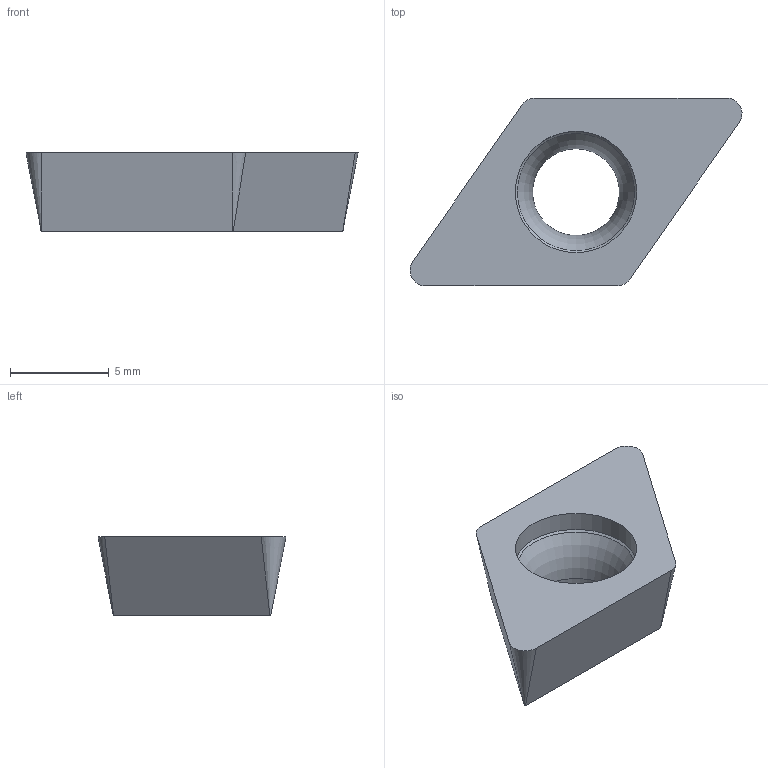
import math

import cadquery as cq

thickness = 3.97
inscribed_diameter = 9.53
nose_angle = 55.0
nose_radius = 0.8
clearance_angle = 11.0

recess_diameter = 6.15
recess_depth = 1.0
recess_chamfer = 0.1
seat_radius = 3.87
bore_diameter = 4.4


def rhombus_outline(inset):
    """Rounded rhombus with two sides along X, every side moved inward by the inset."""
    height = inscribed_diameter - 2 * inset
    nose = math.radians(nose_angle)
    side = height / math.sin(nose)
    lean = height / math.tan(nose)
    corners = [
        (-(side + lean) / 2, -height / 2),
        ((side - lean) / 2, -height / 2),
        ((side + lean) / 2, height / 2),
        ((lean - side) / 2, height / 2),
    ]
    sharp_outline = cq.Sketch().polygon(corners + corners[:1])
    return sharp_outline.vertices().fillet(nose_radius - inset)


def insert_body():
    """Flat-sided body whose rounded corners are cones, narrowest at the bottom."""
    bottom_inset = thickness * math.tan(math.radians(clearance_angle))
    bottom = rhombus_outline(bottom_inset)
    top = rhombus_outline(0).moved(cq.Location(cq.Vector(0, 0, thickness)))
    return cq.Workplane("XY").placeSketch(bottom, top).loft(ruled=True)


def screw_hole():
    """Revolved cutter: cylindrical recess, small chamfer, convex seat, then the bore."""
    recess_radius = recess_diameter / 2
    bore_radius = bore_diameter / 2
    seat_top_radius = recess_radius - recess_chamfer
    recess_floor = thickness - recess_depth
    seat_top = recess_floor - recess_chamfer

    arc_center = bore_radius + seat_radius
    arc_angle = math.acos((arc_center - seat_top_radius) / seat_radius)
    seat_bottom = seat_top - seat_radius * math.sin(arc_angle)
    arc_middle = (
        arc_center - seat_radius * math.cos(arc_angle / 2),
        seat_bottom + seat_radius * math.sin(arc_angle / 2),
    )

    half_profile = (
        cq.Workplane("XZ")
        .lineTo(bore_radius, 0)
        .lineTo(bore_radius, seat_bottom)
        .threePointArc(arc_middle, (seat_top_radius, seat_top))
        .lineTo(recess_radius, recess_floor)
        .lineTo(recess_radius, thickness)
        .lineTo(0, thickness)
        .close()
    )
    return half_profile.revolve(360, (0, 0, 0), (0, 1, 0))


result = insert_body().cut(screw_hole())